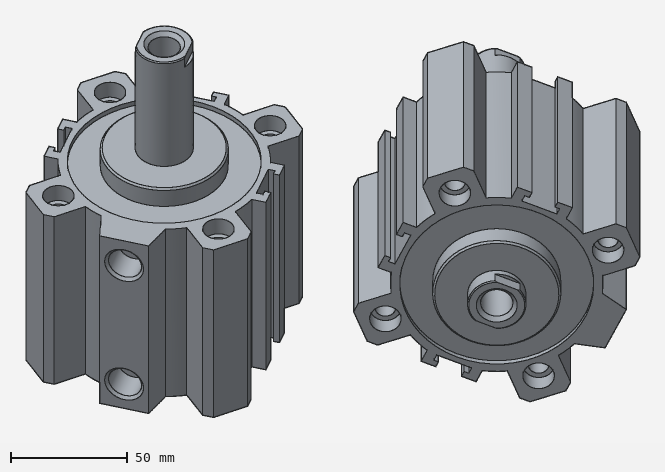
import cadquery as cq
import math


rod_length = 175.0
body_bottom = 15.5
body_length = 94.0
body_top = body_bottom + body_length
body_middle = body_bottom + body_length / 2

barrel_diameter = 91.0
body_width = 100.0
body_half_width = body_width / 2
ear_flat_inner = 33.5
ear_flat_outer = 38.3
rail_width = 25.9
slot_mouth_width = 12.0
slot_inner_width = 16.5
slot_depth = 5.8
slot_lip_thickness = 2.8
port_face_distance = 56.0
port_face_width = 22.0
port_boss_side_angle = 15.0

recess_diameter = 83.1
recess_depth = 2.5
gland_diameter = 55.0
gland_height = 7.4
gland_chamfer = 0.9

mount_offset = 36.0
mount_hole_diameter = 9.0
counterbore_diameter = 13.5
counterbore_depth = 8.4
port_spacing = 66.5
port_diameter = 14.9
port_mouth_diameter = 17.5
port_depth = 14.0

rod_diameter = 25.0
rod_end_chamfer = 0.5
flat_distance = 22.0
flat_height = 5.5
rod_hole_diameter = 13.8
rod_hole_mouth_diameter = 17.5
rod_hole_depth = 22.8


def extrude_body(sketch):
    """Extrude a closed XY outline over the length of the housing body."""
    return sketch.extrude(body_length)


def body_plane():
    """Workplane on the lower end of the housing body."""
    return cq.Workplane("XY").workplane(offset=body_bottom)


def make_ear():
    """Corner ear on the +X +Y diagonal, reaching in to the axis."""
    side_shift = body_half_width - ear_flat_inner
    return extrude_body(
        body_plane().polyline([
            (0, 0),
            (side_shift, 0),
            (body_half_width, ear_flat_inner),
            (body_half_width, ear_flat_outer),
            (ear_flat_outer, body_half_width),
            (ear_flat_inner, body_half_width),
            (0, side_shift),
        ]).close()
    )


def make_rail():
    """Sensor rail block on the +Y side, before its T-slot is cut."""
    return extrude_body(
        body_plane().center(0, body_half_width / 2).rect(rail_width, body_half_width)
    )


def make_sensor_slot():
    """T-slot cutter on the +Y side."""
    mouth = extrude_body(
        body_plane()
        .center(0, body_half_width - slot_depth / 2)
        .rect(slot_mouth_width, slot_depth)
    )
    inner_height = slot_depth - slot_lip_thickness
    inner = extrude_body(
        body_plane()
        .center(0, body_half_width - slot_depth + inner_height / 2)
        .rect(slot_inner_width, inner_height)
    )
    return mouth.union(inner)


def make_port_boss():
    """Tapered boss on the -Y side that carries the air ports."""
    root_distance = recess_diameter / 2
    face_half = port_face_width / 2
    taper = math.tan(math.radians(port_boss_side_angle))
    root_half = face_half + (port_face_distance - root_distance) * taper
    return extrude_body(
        body_plane().polyline([
            (-root_half, -root_distance),
            (-face_half, -port_face_distance),
            (face_half, -port_face_distance),
            (root_half, -root_distance),
        ]).close()
    )


def make_end_recess(z_start):
    """Ring cutter that leaves the gland standing in the end recess."""
    return (
        cq.Workplane("XY").workplane(offset=z_start)
        .circle(recess_diameter / 2).circle(gland_diameter / 2)
        .extrude(recess_depth)
    )


def make_glands():
    """Column through the housing whose two chamfered ends form the glands."""
    return (
        cq.Workplane("XY").workplane(offset=body_bottom - gland_height)
        .circle(gland_diameter / 2)
        .extrude(body_length + 2 * gland_height)
        .edges("%CIRCLE").chamfer(gland_chamfer)
    )


def make_mount_hole(x, y):
    """Through hole with a counterbore at each end."""
    hole = extrude_body(body_plane().center(x, y).circle(mount_hole_diameter / 2))
    for z_start in (body_bottom, body_top - counterbore_depth):
        counterbore = (
            cq.Workplane("XY").workplane(offset=z_start).center(x, y)
            .circle(counterbore_diameter / 2).extrude(counterbore_depth)
        )
        hole = hole.union(counterbore)
    return hole


def make_blind_hole(diameter, mouth_diameter, depth):
    """Blind hole cutter going down from the origin, with a 45 degree countersink."""
    countersink_depth = (mouth_diameter - diameter) / 2
    return (
        cq.Workplane("XZ")
        .polyline([
            (0, 0),
            (mouth_diameter / 2, 0),
            (diameter / 2, -countersink_depth),
            (diameter / 2, -depth),
            (0, -depth),
        ]).close()
        .revolve(360, (0, 0, 0), (0, 1, 0))
    )


def make_port(z):
    """Air port cutter going in from the port face."""
    port = make_blind_hole(port_diameter, port_mouth_diameter, port_depth)
    return port.rotate((0, 0, 0), (1, 0, 0), 90).translate((0, -port_face_distance, z))


def make_housing():
    body = extrude_body(body_plane().circle(barrel_diameter / 2))
    for angle in (0, 90, 180, 270):
        body = body.union(make_ear().rotate((0, 0, 0), (0, 0, 1), angle))
    for angle in (-90, 0, 90):
        body = body.union(make_rail().rotate((0, 0, 0), (0, 0, 1), angle))
        body = body.cut(make_sensor_slot().rotate((0, 0, 0), (0, 0, 1), angle))
    body = body.union(make_port_boss())
    for z_start in (body_bottom, body_top - recess_depth):
        body = body.cut(make_end_recess(z_start))
    body = body.union(make_glands())
    for x in (-mount_offset, mount_offset):
        for y in (-mount_offset, mount_offset):
            body = body.cut(make_mount_hole(x, y))
    for side in (-1, 1):
        body = body.cut(make_port(body_middle + side * port_spacing / 2))
    rod_bore = cq.Workplane("XY").circle(rod_diameter / 2).extrude(rod_length)
    return body.cut(rod_bore)


def make_flat_cutters(z_start):
    """Pair of blocks that cut wrench flats on the -X and +X sides of the rod."""
    cut_width = (rod_diameter - flat_distance) / 2
    cut_center = (flat_distance + cut_width) / 2
    return (
        cq.Workplane("XY").workplane(offset=z_start)
        .pushPoints([(-cut_center, 0), (cut_center, 0)])
        .rect(cut_width, rod_diameter).extrude(flat_height)
    )


def make_rod():
    rod = (
        cq.Workplane("XY").circle(rod_diameter / 2).extrude(rod_length)
        .edges("%CIRCLE").chamfer(rod_end_chamfer)
    )
    for z_start in (0, rod_length - flat_height):
        rod = rod.cut(make_flat_cutters(z_start))
    end_hole = make_blind_hole(rod_hole_diameter, rod_hole_mouth_diameter, rod_hole_depth)
    rod = rod.cut(end_hole.translate((0, 0, rod_length)))
    return rod.cut(end_hole.rotate((0, 0, 0), (1, 0, 0), 180))


housing = make_housing()
rod = make_rod()

result = cq.Compound.makeCompound([housing.val(), rod.val()])